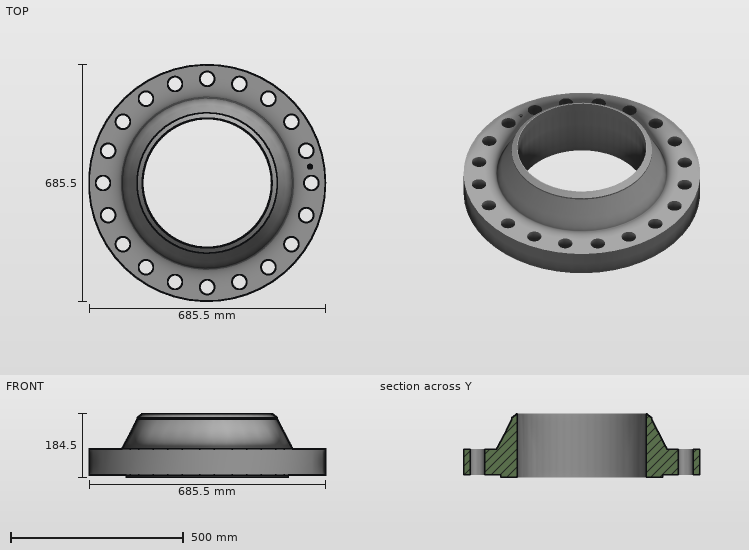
import cadquery as cq
import math

flange_diameter = 685.5
flange_thickness = 76.0
face_diameter = 470.0
face_height = 6.0

overall_height = 184.5
hub_base_diameter = 495.0
hub_fillet_radius = 3.5
neck_diameter = 406.5
neck_length = 16.5
bore_diameter = 373.0
root_face_width = 1.7
bevel_angle = 37.5

bolt_count = 20
bolt_circle_diameter = 603
bolt_hole_diameter = 42.0
small_hole_diameter = 7
small_hole_depth = 20.5
drill_tip_depth = 2.0
counterbore_diameter = 13.0
counterbore_depth = 3.0

bolt_pitch_angle = 360 / bolt_count
flange_top = face_height + flange_thickness
land_diameter = bore_diameter + 2 * root_face_width
bevel_height = (neck_diameter - land_diameter) / 2 * math.tan(math.radians(bevel_angle))


def make_body():
    """Revolve the half section of flange, hub and bore about Z, then round the hub foot."""
    half_section = [
        (bore_diameter / 2, 0),
        (face_diameter / 2, 0),
        (face_diameter / 2, face_height),
        (flange_diameter / 2, face_height),
        (flange_diameter / 2, flange_top),
        (hub_base_diameter / 2, flange_top),
        (neck_diameter / 2, overall_height - neck_length),
        (neck_diameter / 2, overall_height - bevel_height),
        (land_diameter / 2, overall_height),
        (bore_diameter / 2, overall_height),
    ]
    body = cq.Workplane("XZ").polyline(half_section).close().revolve(360, (0, 0), (0, 1))
    hub_foot = cq.selectors.RadiusNthSelector(-2)
    return body.edges("%CIRCLE").edges(hub_foot).fillet(hub_fillet_radius)


def make_bolt_holes():
    """Cylinders evenly spaced on the bolt circle, passing through the flange plate."""
    return (
        cq.Workplane("XY")
        .polarArray(bolt_circle_diameter / 2, 0, 360, bolt_count)
        .circle(bolt_hole_diameter / 2)
        .extrude(flange_top)
    )


def make_small_hole():
    """Counterbored blind hole with a conical tip, half a bolt pitch from the +X bolt hole."""
    half_section = [
        (0, 0),
        (counterbore_diameter / 2, 0),
        (counterbore_diameter / 2, -counterbore_depth),
        (small_hole_diameter / 2, -counterbore_depth),
        (small_hole_diameter / 2, -small_hole_depth),
        (0, -small_hole_depth - drill_tip_depth),
    ]
    hole = cq.Workplane("XZ").polyline(half_section).close().revolve(360, (0, 0), (0, 1))
    hole = hole.translate((bolt_circle_diameter / 2, 0, flange_top))
    return hole.rotate((0, 0, 0), (0, 0, 1), bolt_pitch_angle / 2)


result = make_body().cut(make_bolt_holes()).cut(make_small_hole())